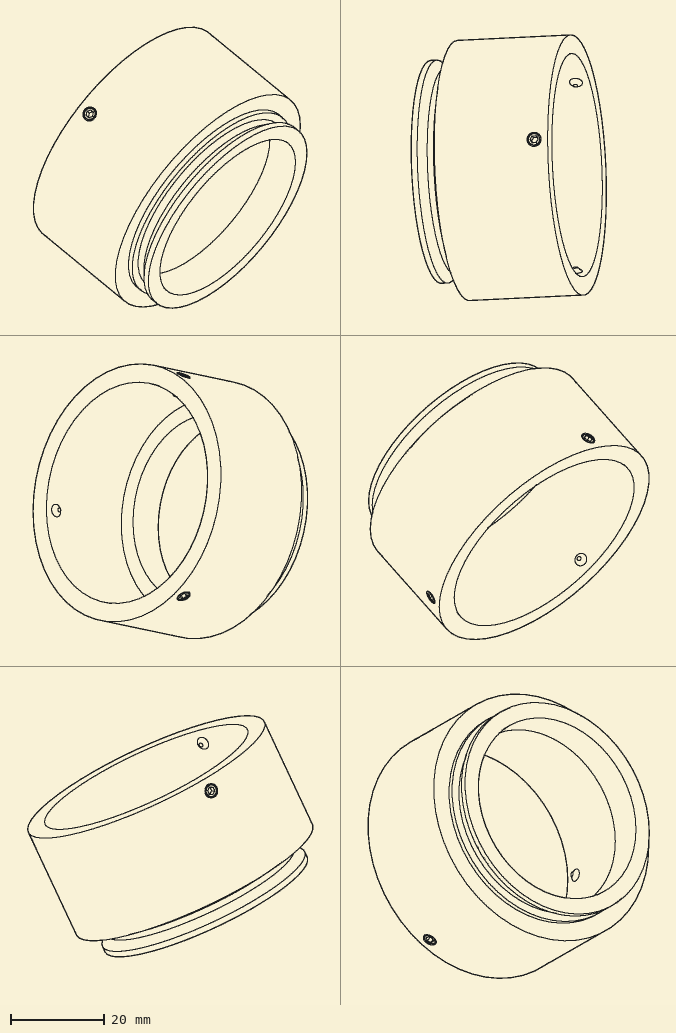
import cadquery as cq
import math

body_diameter = 56.0
body_length = 25.0
socket_diameter = 48.0
socket_depth = 23.2
bore_diameter = 41.0

spigot_diameter = 48.0
groove_diameter = 44.4
collar_width = 1.1
groove_floor_width = 1.8
rim_width = 1.35
groove_depth = (spigot_diameter - groove_diameter) / 2
collar_end = body_length + collar_width
groove_end = collar_end + groove_floor_width
rim_start = groove_end + groove_depth
total_length = rim_start + rim_width

screw_count = 3
screw_offset = 3.0
screw_diameter = 3.0
head_recess = 0.1
head_chamfer = 0.3
point_diameter = 0.9
point_projection = 0.95
hex_across_flats = 1.5
hex_depth = 1.5
head_radius = body_diameter / 2 - head_recess
point_radius = socket_diameter / 2 - point_projection
point_length = (screw_diameter - point_diameter) / 2


def tube():
    """Hollow body and spigot as one revolved profile of (x, radius) points."""
    body_radius = body_diameter / 2
    socket_radius = socket_diameter / 2
    bore_radius = bore_diameter / 2
    spigot_radius = spigot_diameter / 2
    groove_radius = groove_diameter / 2
    profile = [
        (0, socket_radius),
        (0, body_radius),
        (body_length, body_radius),
        (body_length, spigot_radius),
        (collar_end, spigot_radius),
        (collar_end, groove_radius),
        (groove_end, groove_radius),
        (rim_start, spigot_radius),
        (total_length, spigot_radius),
        (total_length, bore_radius),
        (socket_depth, bore_radius),
        (socket_depth, socket_radius),
    ]
    return cq.Workplane("XY").polyline(profile).close().revolve(360, (0, 0, 0), (1, 0, 0))


def radial_plane(radius, angle):
    """Plane at the screw position, with its normal pointing away from the X axis."""
    outward = (0, math.cos(math.radians(angle)), math.sin(math.radians(angle)))
    origin = (screw_offset, radius * outward[1], radius * outward[2])
    return cq.Workplane(cq.Plane(origin, (1, 0, 0), outward))


def screw_hole(angle):
    """Radial hole from the outer surface down to where the cone of the screw begins."""
    shank_start = point_radius + point_length
    return radial_plane(shank_start, angle).circle(screw_diameter / 2).extrude(body_diameter / 2 - shank_start)


def screw(angle):
    """Grub screw with a truncated cone point, a chamfered head and a hexagon key socket."""
    shank_radius = screw_diameter / 2
    length = head_radius - point_radius
    outline = [
        (0, 0),
        (point_diameter / 2, 0),
        (shank_radius, point_length),
        (shank_radius, length - head_chamfer),
        (shank_radius - head_chamfer, length),
        (0, length),
    ]
    axis_plane = cq.Plane((0, 0, 0), (1, 0, 0), (0, -1, 0))
    body = cq.Workplane(axis_plane).polyline(outline).close().revolve(360, (0, 0, 0), (0, 1, 0))
    body = body.rotate((0, 0, 0), (1, 0, 0), angle - 90)
    body = body.translate(radial_plane(point_radius, angle).plane.origin)
    hex_diameter = hex_across_flats / math.cos(math.pi / 6)
    key = radial_plane(head_radius, angle).polygon(6, hex_diameter).extrude(-hex_depth)
    return body.cut(key)


result = tube()
for index in range(screw_count):
    screw_angle = index * 360 / screw_count
    result = result.cut(screw_hole(screw_angle)).union(screw(screw_angle))